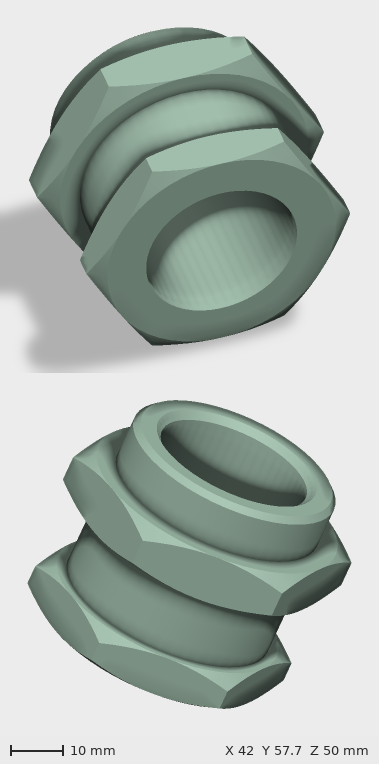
import cadquery as cq
import math

tube_length = 42.0
tube_diameter = 42.0
bore_diameter = 30.35
tube_chamfer = 1.15
bore_chamfer = 1.4

collar_across_flats = 50.0
collar_start = 9.7
collar_width = 9.6

nut_across_flats = 46.0
nut_width = 8.0
nut_start = tube_length - nut_width

hex_chamfer_angle = 30


def chamfered_hexagon(across_flats, start, width):
    """Hexagonal prism along X with corners on Y, turned conically at both ends."""
    flat_radius = across_flats / 2
    corner_diameter = across_flats / math.cos(math.radians(30))
    corner_radius = corner_diameter / 2
    chamfer_depth = (corner_radius - flat_radius) * math.tan(math.radians(hex_chamfer_angle))
    end = start + width

    prism = (
        cq.Workplane("YZ", origin=(start, 0, 0))
        .polygon(6, corner_diameter)
        .extrude(width)
    )
    turned_envelope = (
        cq.Workplane("XY")
        .moveTo(start, 0)
        .lineTo(start, flat_radius)
        .lineTo(start + chamfer_depth, corner_radius)
        .lineTo(end - chamfer_depth, corner_radius)
        .lineTo(end, flat_radius)
        .lineTo(end, 0)
        .close()
        .revolve(360, (0, 0, 0), (1, 0, 0))
    )
    return prism.intersect(turned_envelope)


def cylinder(diameter):
    """Cylinder along X over the full length of the tube."""
    return cq.Workplane("YZ").circle(diameter / 2).extrude(tube_length)


def make_fitting():
    """Tube and collar in one piece, bored through and chamfered at the entry end."""
    tube = cylinder(tube_diameter).faces("<X").chamfer(tube_chamfer)
    collar = chamfered_hexagon(collar_across_flats, collar_start, collar_width)
    bore = cylinder(bore_diameter)
    entry_cone = (
        cq.Workplane("XY")
        .moveTo(0, 0)
        .lineTo(0, bore_diameter / 2 + bore_chamfer)
        .lineTo(bore_chamfer, bore_diameter / 2)
        .lineTo(bore_chamfer, 0)
        .close()
        .revolve(360, (0, 0, 0), (1, 0, 0))
    )
    return tube.union(collar).cut(bore).cut(entry_cone)


def make_nut():
    """Hexagonal nut whose hole fits the tube."""
    blank = chamfered_hexagon(nut_across_flats, nut_start, nut_width)
    return blank.cut(cylinder(tube_diameter))


fitting = make_fitting()
nut = make_nut()

result = cq.Compound.makeCompound([fitting.val(), nut.val()])